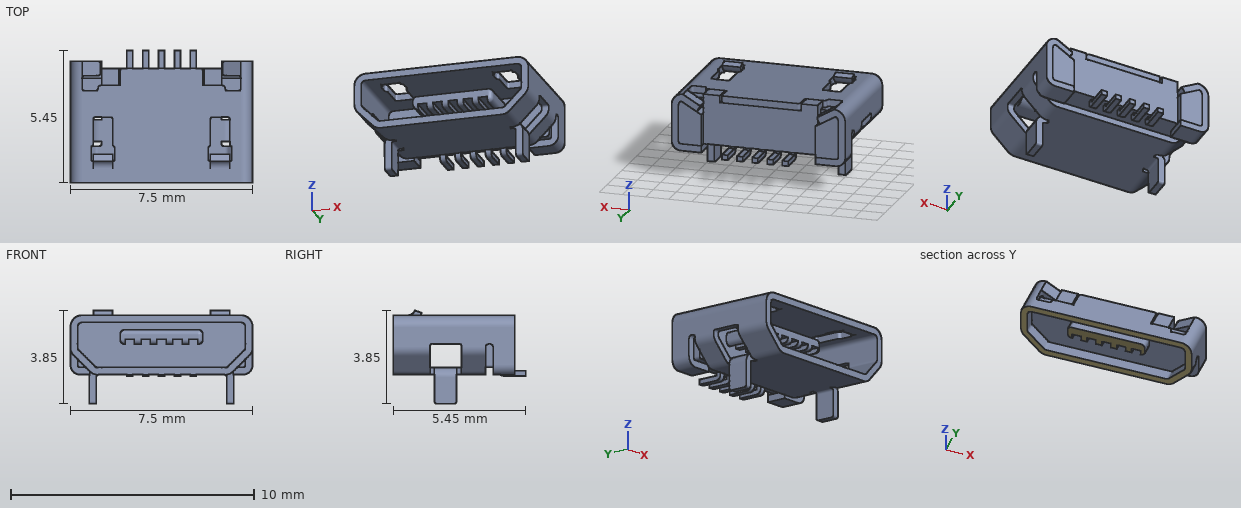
import cadquery as cq
import math


sheet = 0.3
width = 7.5
height = 2.45
depth = 5.0
bend = 0.49
inner_bend = bend - sheet
lower_chamfer = 0.94
half_width = width / 2
roof_edge = half_width - bend
ceiling = height - sheet

bracket_front = 4.11
bracket_bend = 0.405
flange_tip = 2.47
slot_front = 3.795
slot_top = 1.27
slot_fillet = 0.14

leg_outer = 2.98
leg_bend = 0.4
leg_front = 1.695
leg_rear = 2.6
leg_length = 1.2
leg_fillet = 0.105
opening_front = 1.515
opening_rear = 2.805
opening_inner = 2.47
opening_fillet = 0.1

spring_inner = 2.01
spring_outer = 2.805
spring_root = 0.61
spring_radius = 0.3
spring_angle = 70.0
window_rear = 2.7
window_shoulder = 1.46
window_front = 0.89
window_flare = 0.09
window_fillet = 0.08
shoulder_fillet = 0.07

notch_inner = 1.695
notch_front = 4.005
relief_inner = 2.61
relief_fillet = 0.1
roof_rear = 4.71
roof_fillet = 0.105
tab_angle = 30.0
tab_tip = 2.51
tab_front = 4.41
tab_fillet = 0.1
tab_slope = math.tan(math.radians(tab_angle))
under_x = -roof_edge - sheet * math.tan(math.radians(tab_angle / 2))

lug_inner = 1.755
lug_outer = 2.47
ramp_front = 4.305
tongue_width = 3.405
tongue_front = 1.54
tongue_bottom = 1.25
tongue_height = 0.6
tongue_fillet = 0.2
contact_pitch = 0.65
contact_count = 5
groove_width = 0.38
groove_depth = 0.21
pin_width = 0.255
pin_thickness = 0.22
pin_bottom = -0.05
pin_rear = 5.45
pin_front = 4.335


def box(x0, x1, y0, y1, z0, z1):
    return cq.Workplane("XY").box(x1 - x0, y1 - y0, z1 - z0, centered=False).translate((x0, y0, z0))


def round_corner(part, x, y, radius):
    """Round the upright edge of the roof's layer that stands at x, y."""
    middle = ceiling + sheet / 2
    return part.edges("|Z").edges(cq.NearestToPointSelector((x, y, middle))).fillet(radius)


def with_mirror(part):
    """The part and its mirror image across the socket's middle plane."""
    return part.union(part.mirror("YZ"))


def prism_y(points, y0, y1):
    """Extrude an X-Z outline from y0 to y1."""
    return cq.Workplane("XZ", origin=(0, y0, 0)).polyline(points).close().extrude(y0 - y1)


def tapered_block(inset, radius, y0, y1):
    """Rounded block with sloping lower corners, inset evenly from the shell's outside."""
    side = half_width - inset
    leg = lower_chamfer - inset * (2 - math.sqrt(2))
    low, high = inset, height - inset
    outline = [
        (-side, high),
        (side, high),
        (side, low + leg),
        (side - leg, low),
        (leg - side, low),
        (-side, low + leg),
    ]
    return prism_y(outline, y0, y1).edges("|Y").fillet(radius)


def square_block(inset, y0, y1):
    """Rounded rectangular block, inset evenly from the shell's outside."""
    side = half_width - inset
    block = box(-side, side, y0, y1, inset, height - inset)
    block = block.edges("|Y and >Z").fillet(bend - inset)
    return block.edges("|Y and <Z").fillet(bracket_bend - inset)


def rear_brackets():
    """Rear part of the shell, with its slots and turned-in flanges."""
    frame = square_block(0, slot_front, depth).cut(square_block(sheet, slot_front, depth))
    floor_gap = box(-flange_tip, flange_tip, slot_front, depth, 0, sheet)
    slot = box(-half_width, half_width, slot_front, bracket_front, 0, slot_top)
    slot = slot.edges("|X and >Z").fillet(slot_fillet)
    return frame.cut(floor_gap).cut(slot)


def leg_opening():
    """Opening through the lower corner that frees the leg."""
    opening = box(-half_width, -opening_inner, opening_front, opening_rear, 0, slot_top)
    opening = opening.edges("|X and >Z").fillet(opening_fillet)
    return opening.edges("|Z and >X").fillet(opening_fillet)


def leg():
    """Strip that leaves the floor sideways and bends straight down."""
    bend_x = -leg_outer + leg_bend
    bend_z = sheet - leg_bend
    inner_radius = leg_bend - sheet
    outer_mid = leg_bend * math.sqrt(0.5)
    inner_mid = inner_radius * math.sqrt(0.5)
    blank = (
        cq.Workplane("XZ", origin=(0, leg_front, 0))
        .moveTo(-opening_inner, sheet)
        .lineTo(bend_x, sheet)
        .threePointArc((bend_x - outer_mid, bend_z + outer_mid), (-leg_outer, bend_z))
        .lineTo(-leg_outer, -leg_length)
        .lineTo(-leg_outer + sheet, -leg_length)
        .lineTo(-leg_outer + sheet, bend_z)
        .threePointArc((bend_x - inner_mid, bend_z + inner_mid), (bend_x, 0))
        .lineTo(-opening_inner, 0)
        .close()
        .extrude(leg_front - leg_rear)
    )
    return blank.edges("|X and <Z").fillet(leg_fillet)


def window():
    """Hole in the roof behind a latch spring, widened beside the spring's tip."""
    outline = [
        (-spring_outer, window_rear),
        (-spring_inner, window_rear),
        (-spring_inner, window_shoulder + window_flare),
        (-spring_inner + window_flare, window_shoulder),
        (-spring_inner + window_flare, window_front),
        (-spring_inner, window_front),
        (-spring_inner, spring_root),
        (-spring_outer, spring_root),
        (-spring_outer, window_front),
        (-spring_outer - window_flare, window_front),
        (-spring_outer - window_flare, window_shoulder),
        (-spring_outer, window_shoulder + window_flare),
    ]
    hole = cq.Workplane("XY", origin=(0, 0, ceiling)).polyline(outline).close().extrude(sheet)
    for x in (-spring_outer, -spring_inner):
        hole = round_corner(hole, x, window_rear, window_fillet)
    for x in (-spring_outer - window_flare, -spring_inner + window_flare):
        hole = round_corner(hole, x, window_front, window_fillet)
        hole = round_corner(hole, x, window_shoulder, shoulder_fillet)
    for x in (-spring_outer, -spring_inner):
        hole = round_corner(hole, x, window_shoulder + window_flare, shoulder_fillet)
    return hole


def spring():
    """Strip that curls up out of the roof from its root."""
    centre_z = height + spring_radius
    outer_radius = spring_radius + sheet

    def point(radius, angle):
        turn = math.radians(angle)
        return spring_root + radius * math.sin(turn), centre_z - radius * math.cos(turn)

    return (
        cq.Workplane("YZ", origin=(-spring_outer, 0, 0))
        .moveTo(*point(spring_radius, 0))
        .threePointArc(point(spring_radius, spring_angle / 2), point(spring_radius, spring_angle))
        .lineTo(*point(outer_radius, spring_angle))
        .threePointArc(point(outer_radius, spring_angle / 2), point(outer_radius, 0))
        .close()
        .extrude(spring_outer - spring_inner)
    )


def roof_notch():
    """Stepped notch in a rear corner of the roof."""
    wide = box(-roof_edge, -notch_inner, notch_front, depth, ceiling, height)
    relief = box(-roof_edge, -relief_inner, slot_front, depth, ceiling, height)
    notch = wide.union(relief)
    notch = round_corner(notch, -roof_edge, slot_front, relief_fillet)
    notch = round_corner(notch, -relief_inner, slot_front, relief_fillet)
    return round_corner(notch, -relief_inner, notch_front, relief_fillet)


def under_z(x):
    """Height of the tab's underside at x."""
    return ceiling - (x - under_x) * tab_slope


def tab():
    """Corner of the roof bent down towards the middle of the socket."""
    turn = math.radians(tab_angle)
    tip_z = height - (roof_edge - tab_tip) * tab_slope
    profile = [
        (-roof_edge, height),
        (-tab_tip, tip_z),
        (-tab_tip - sheet * math.sin(turn), tip_z - sheet * math.cos(turn)),
        (under_x, ceiling),
    ]
    blank = prism_y(profile, tab_front, depth)
    plan = box(-half_width, -tab_tip, tab_front, depth, 0, height).edges("|Z and >X").fillet(tab_fillet)
    return blank.intersect(plan)


def make_shell():
    tube = tapered_block(0, bend, 0, slot_front).cut(tapered_block(sheet, inner_bend, 0, slot_front))
    shell = tube.union(rear_brackets())
    shell = shell.cut(box(-notch_inner, notch_inner, roof_rear, depth, ceiling, height))
    shell = shell.cut(with_mirror(roof_notch())).cut(with_mirror(leg_opening())).cut(with_mirror(window()))
    for feature in (leg(), spring(), tab()):
        shell = shell.union(with_mirror(feature))
    for side in (-1, 1):
        shell = round_corner(shell, side * notch_inner, roof_rear, roof_fillet)
        shell = round_corner(shell, side * roof_edge, tab_front, tab_fillet)
    return shell


def ramp_cut():
    """Clearance above the insert's corner, sloping along the underside of the tab."""
    outline = [
        (under_x, ceiling),
        (-lug_outer, under_z(-lug_outer)),
        (-lug_outer, height),
        (under_x, height),
    ]
    return prism_y(outline, ramp_front, depth)


def tongue():
    """Contact carrier, rounded everywhere except on its left upright front edge."""
    side = tongue_width / 2
    bar = box(-side, side, tongue_front, slot_front, tongue_bottom, tongue_bottom + tongue_height)
    return bar.edges("|Y or (<Y and |X) or (<Y and >X)").fillet(tongue_fillet)


def groove():
    """Channel along the underside of the tongue for one contact."""
    half = groove_width / 2
    return box(-half, half, tongue_front, slot_front, tongue_bottom, tongue_bottom + groove_depth)


def pin():
    """Solder foot that reaches back from under the insert."""
    half = pin_width / 2
    foot = box(-half, half, pin_front, pin_rear, pin_bottom, pin_bottom + pin_thickness)
    foot = foot.union(box(-half, half, pin_front, pin_front + pin_thickness, pin_bottom, sheet))
    return foot.edges("|X and <Y and <Z").fillet(pin_thickness)


def make_insert():
    insert = square_block(sheet, slot_front, depth)
    insert = insert.cut(box(-lug_outer, lug_outer, roof_rear, depth, 0, height))
    insert = insert.cut(with_mirror(ramp_cut()))
    insert = insert.union(with_mirror(box(-lug_outer, -lug_inner, notch_front, roof_rear, ceiling, height)))
    insert = insert.union(tongue())
    for i in range(contact_count):
        x = (i - (contact_count - 1) / 2) * contact_pitch
        insert = insert.cut(groove().translate((x, 0, 0)))
        insert = insert.union(pin().translate((x, 0, 0)))
    return insert


shell = make_shell()
insert = make_insert()
result = cq.Compound.makeCompound([shell.val(), insert.val()])